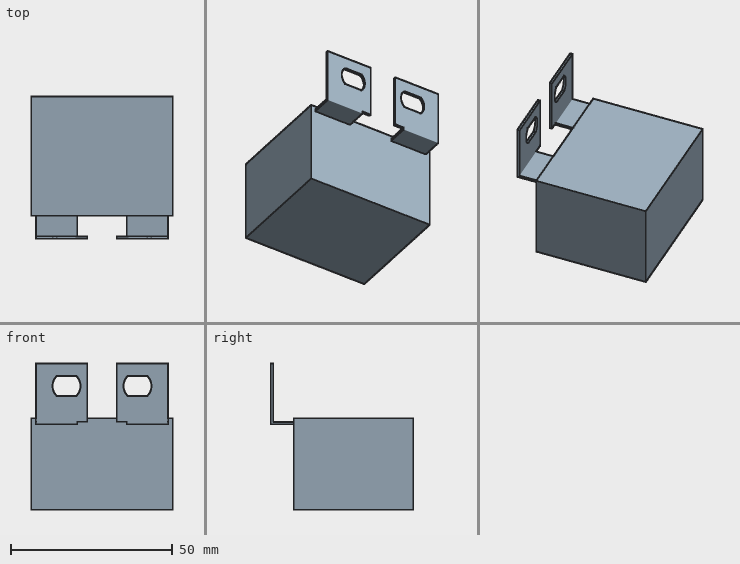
import cadquery as cq

case_width = 44.0
case_depth = 37.1
case_height = 28.4

sheet = 0.8
leg_reach = 7.1
leg_width = 12.9
leg_bottom = 26.5
plate_width = 16.0
plate_top = 45.4
terminal_side_gap = 1.5
bend_radius = 0.1

hole_diameter = 8.6
hole_height = 6.1
hole_center_x = 11.0
hole_drop = 7.0

front_face_y = -case_depth / 2
plate_front_y = front_face_y - leg_reach
plate_back_y = plate_front_y + sheet
terminal_outer_x = case_width / 2 - terminal_side_gap
leg_top = leg_bottom + sheet
hole_center_z = plate_top - hole_drop


def make_case():
    return cq.Workplane("XY").box(case_width, case_depth, case_height, centered=(True, True, False))


def make_bent_strip():
    """L-section strip, as wide as the leg: horizontal leg, bend and upright."""
    profile = (
        cq.Workplane("YZ", origin=(terminal_outer_x - leg_width, 0, 0))
        .moveTo(front_face_y, leg_bottom)
        .lineTo(plate_front_y, leg_bottom)
        .lineTo(plate_front_y, plate_top)
        .lineTo(plate_back_y, plate_top)
        .lineTo(plate_back_y, leg_top)
        .lineTo(front_face_y, leg_top)
        .close()
    )
    strip = profile.extrude(leg_width)
    leg_center_x = terminal_outer_x - leg_width / 2
    inner_corner = cq.selectors.NearestToPointSelector((leg_center_x, plate_back_y, leg_top))
    outer_corner = cq.selectors.NearestToPointSelector((leg_center_x, plate_front_y, leg_bottom))
    strip = strip.edges(inner_corner).fillet(bend_radius)
    return strip.edges(outer_corner).fillet(bend_radius)


def make_plate_extension():
    """Part of the upright that reaches past the leg toward the middle, ending level with the leg top."""
    extension_width = plate_width - leg_width
    return (
        cq.Workplane("XY", origin=(terminal_outer_x - plate_width, plate_front_y, leg_top))
        .box(extension_width, sheet, plate_top - leg_top, centered=False)
    )


def make_hole_cutter():
    hole_plane = cq.Workplane("XZ", origin=(hole_center_x, plate_back_y, hole_center_z))
    disc = hole_plane.circle(hole_diameter / 2).extrude(sheet)
    flat_band = hole_plane.rect(hole_diameter, hole_height).extrude(sheet)
    return disc.intersect(flat_band)


def make_terminal(side):
    """One terminal; side is 1 for +X and -1 for its mirror image at -X."""
    terminal = make_bent_strip().union(make_plate_extension()).cut(make_hole_cutter())
    return terminal if side > 0 else terminal.mirror("YZ")


case = make_case()
terminals = [make_terminal(side).val() for side in (-1, 1)]

result = cq.Compound.makeCompound([case.val(), *terminals])